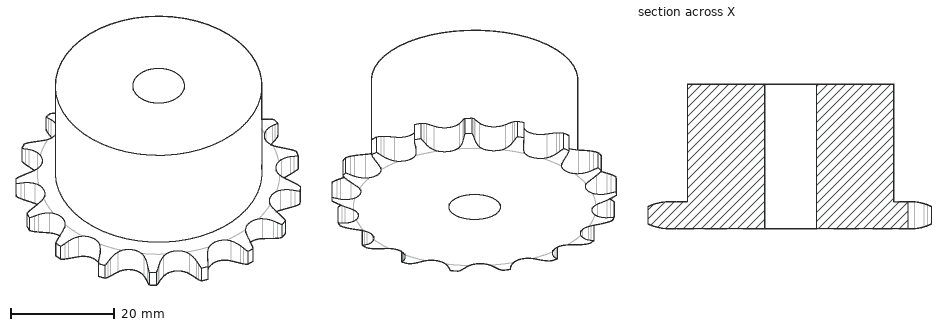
import cadquery as cq
import math

tooth_count = 17
chain_pitch = 9.55
roller_diameter = 6.4
seat_clearance = 0.075

tip_diameter = 55.3
plate_thickness = 5.3
tip_thickness = 3.35
hub_diameter = 40.0
bore_diameter = 10.0
total_height = 28.0

SEAT_RATIO = 1.005
CENTRE_RATIO = 0.8
FLANK_RATIO = 1.3025
TIP_RATIO = 1.4
seat_half_angle = 35 + 60 / tooth_count
flank_sweep = 18 - 56 / tooth_count
tip_start_angle = 17 - 64 / tooth_count
tip_sweep = 15

pitch_radius = chain_pitch / 2 / math.sin(math.pi / tooth_count)
seat_radius = (SEAT_RATIO * roller_diameter + seat_clearance) / 2
flank_radius = FLANK_RATIO * roller_diameter + seat_clearance / 2
tip_radius = tip_diameter / 2
rim_drop = (plate_thickness - tip_thickness) / 2
bevel_width = math.sqrt(rim_drop * (2 * chain_pitch - rim_drop))


def polar(centre, radius, degrees):
    """Point at a radius and an angle from a centre."""
    angle = math.radians(degrees)
    return (centre[0] + radius * math.cos(angle), centre[1] + radius * math.sin(angle))


def mirrored(point):
    """Point reflected to the other side of the tooth gap."""
    return (-point[0], point[1])


def make_blank():
    """Toothless plate whose rim is rounded off on both faces by the bevel arcs."""
    flat_radius = tip_radius - bevel_width
    mid_angle = 90 - math.degrees(math.asin(bevel_width / chain_pitch)) / 2
    upper_mid = polar((flat_radius, plate_thickness - chain_pitch), chain_pitch, mid_angle)
    lower_mid = (upper_mid[0], plate_thickness - upper_mid[1])
    return (
        cq.Workplane("XZ")
        .lineTo(flat_radius, 0)
        .threePointArc(lower_mid, (tip_radius, rim_drop))
        .lineTo(tip_radius, plate_thickness - rim_drop)
        .threePointArc(upper_mid, (flat_radius, plate_thickness))
        .lineTo(0, plate_thickness)
        .close()
        .revolve(360, (0, 0, 0), (0, 1, 0))
    )


def make_gap():
    """Space between two teeth, centred on +Y: roller seat, concave flanks, short flats and tip arcs."""
    seat_centre = (0, pitch_radius)
    flank_centre = polar(seat_centre, CENTRE_RATIO * roller_diameter, seat_half_angle)
    tip_centre = polar(seat_centre, TIP_RATIO * roller_diameter, 180 + 180 / tooth_count)

    seat_bottom = polar(seat_centre, seat_radius, -90)
    seat_end = polar(seat_centre, seat_radius, 180 + seat_half_angle)
    flank_mid = polar(flank_centre, flank_radius, 180 + seat_half_angle - flank_sweep / 2)
    flank_end = polar(flank_centre, flank_radius, 180 + seat_half_angle - flank_sweep)

    flat_length = roller_diameter * (
        TIP_RATIO * math.sin(math.radians(tip_start_angle))
        - CENTRE_RATIO * math.sin(math.radians(flank_sweep))
    )
    normal_angle = seat_half_angle - flank_sweep
    flat_end = polar(flank_end, flat_length, normal_angle + 90)
    tip_arc_radius = math.dist(tip_centre, flat_end)
    tip_mid = polar(tip_centre, tip_arc_radius, normal_angle + tip_sweep / 2)
    tip_end = polar(tip_centre, tip_arc_radius, normal_angle + tip_sweep)

    return (
        cq.Workplane("XY")
        .moveTo(*tip_end)
        .threePointArc(tip_mid, flat_end)
        .lineTo(*flank_end)
        .threePointArc(flank_mid, seat_end)
        .threePointArc(seat_bottom, mirrored(seat_end))
        .threePointArc(mirrored(flank_mid), mirrored(flank_end))
        .lineTo(*mirrored(flat_end))
        .threePointArc(mirrored(tip_mid), mirrored(tip_end))
        .threePointArc((0, math.hypot(*tip_end)), tip_end)
        .close()
        .extrude(plate_thickness)
    )


sprocket = make_blank()
gap = make_gap()
for index in range(tooth_count):
    sprocket = sprocket.cut(gap.rotate((0, 0, 0), (0, 0, 1), index * 360 / tooth_count))

hub = cq.Workplane("XY").circle(hub_diameter / 2).extrude(total_height)
bore = cq.Workplane("XY").circle(bore_diameter / 2).extrude(total_height)
result = sprocket.union(hub).cut(bore)